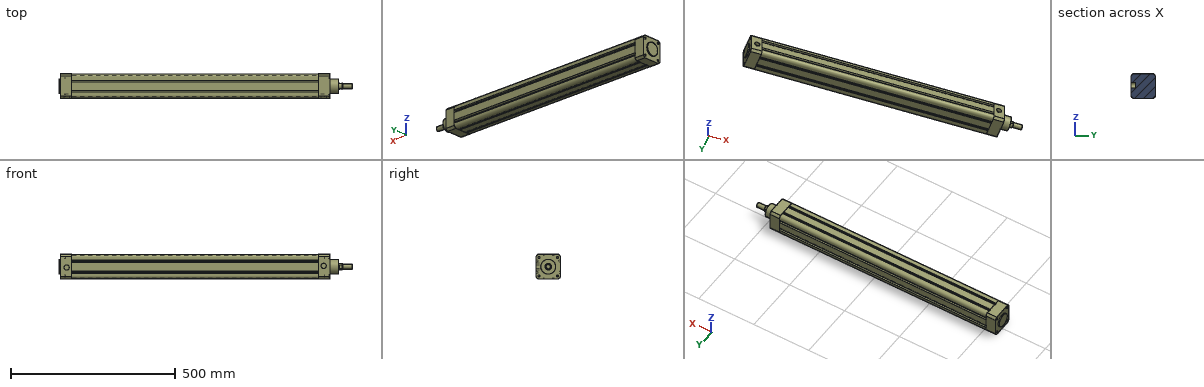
import cadquery as cq

total_length = 894.0
pilot_length = 4.0
rear_cap_end = 38.5
front_cap_start = 790.5
front_cap_end = 825.0
collar_end = 852.0
rod_shoulder = 865.0

cap_width = 76.0
cap_chamfer = 7.5
pilot_diameter = 45.0
bolt_spacing = 56.5
bolt_hole_diameter = 6.0
bolt_hole_depth = 16.0
port_diameter = 16.0
port_depth = 14.0
rear_port_x = 23.0
rear_port_z = -2.5
front_port_x = 806.5
front_port_z = 2.5

tube_width = 75.0
tube_corner_radius = 9.5
groove_inner = 13.0
top_groove_outer = 18.0
top_groove_depth = 3.0
side_groove_outer = 21.0
side_groove_depth = 5.5
side_inner_taper = 3.0
side_outer_taper = 1.5

rod_diameter = 20.0
thread_diameter = 16.0
thread_chamfer = 1.5
rod_shoulder_chamfer = 2.0
wrench_width = 17.0
wrench_flat_start = 854.0
wrench_flat_length = 8.0


def cylinder(diameter, start, end):
    """Round bar along X from start to end."""
    return cq.Workplane("YZ", origin=(start, 0, 0)).circle(diameter / 2).extrude(end - start)


def end_cap(start, end, port_x, port_z):
    """Square block with chamfered long edges and a blind port in its -Y side."""
    block = (
        cq.Workplane("YZ", origin=(start, 0, 0))
        .rect(cap_width, cap_width)
        .extrude(end - start)
        .edges("|X")
        .chamfer(cap_chamfer)
    )
    port = (
        cq.Workplane("XZ", origin=(port_x, -cap_width / 2, port_z))
        .circle(port_diameter / 2)
        .extrude(-port_depth)
    )
    return block.cut(port)


def bolt_holes(start, depth):
    """Four blind holes running along X from the plane X = start; the sign of depth is their direction."""
    return (
        cq.Workplane("YZ", origin=(start, 0, 0))
        .rect(bolt_spacing, bolt_spacing, forConstruction=True)
        .vertices()
        .circle(bolt_hole_diameter / 2)
        .extrude(depth)
    )


def make_rear_cap():
    cap = end_cap(pilot_length, rear_cap_end, rear_port_x, rear_port_z)
    cap = cap.cut(bolt_holes(pilot_length, bolt_hole_depth))
    return cap.union(cylinder(pilot_diameter, 0, pilot_length))


def make_front_cap():
    cap = end_cap(front_cap_start, front_cap_end, front_port_x, front_port_z)
    cap = cap.cut(bolt_holes(front_cap_end, -bolt_hole_depth))
    return cap.union(cylinder(pilot_diameter, front_cap_end, collar_end))


def groove(outer, depth, inner_taper, outer_taper):
    """Lengthwise groove in the +Z face of the tube, on the +Y half."""
    face = tube_width / 2
    floor = face - depth
    return (
        cq.Workplane("YZ", origin=(rear_cap_end, 0, 0))
        .polyline([
            (groove_inner, face),
            (groove_inner + inner_taper, floor),
            (outer - outer_taper, floor),
            (outer, face),
        ])
        .close()
        .extrude(front_cap_start - rear_cap_end)
    )


def make_tube():
    tube = (
        cq.Workplane("YZ", origin=(rear_cap_end, 0, 0))
        .rect(tube_width, tube_width)
        .extrude(front_cap_start - rear_cap_end)
        .edges("|X")
        .fillet(tube_corner_radius)
    )
    top_groove = groove(top_groove_outer, top_groove_depth, 0, 0)
    side_groove = groove(side_groove_outer, side_groove_depth, side_inner_taper, side_outer_taper)
    for face_groove, face_angles in ((top_groove, (0, 180)), (side_groove, (90, 270))):
        for angle in face_angles:
            for copy in (face_groove, face_groove.mirror("XZ")):
                tube = tube.cut(copy.rotate((0, 0, 0), (1, 0, 0), angle))
    return tube


def make_rod():
    shank = cylinder(rod_diameter, collar_end, rod_shoulder).faces(">X").chamfer(rod_shoulder_chamfer)
    flat_centre_x = wrench_flat_start + wrench_flat_length / 2
    flat_offset = (wrench_width + rod_diameter) / 2
    cutter = cq.Workplane("XY").box(wrench_flat_length, rod_diameter, rod_diameter)
    for side in (-1, 1):
        shank = shank.cut(cutter.translate((flat_centre_x, side * flat_offset, 0)))
    thread = cylinder(thread_diameter, rod_shoulder, total_length).faces(">X").chamfer(thread_chamfer)
    return shank.union(thread)


rear_cap = make_rear_cap()
tube = make_tube()
front_cap = make_front_cap()
rod = make_rod()

result = cq.Compound.makeCompound([rear_cap.val(), tube.val(), front_cap.val(), rod.val()])